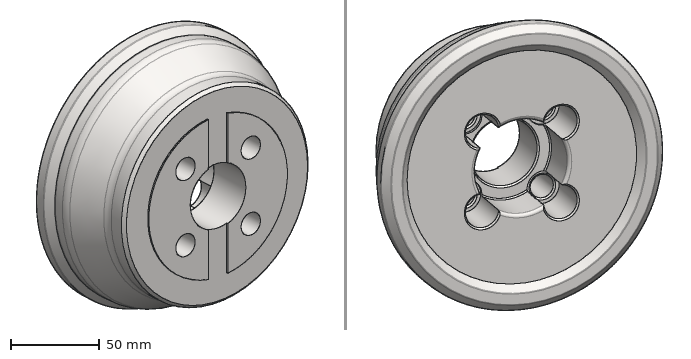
import cadquery as cq
import math

TOTAL_WIDTH = 63.0

TYRE_RADIUS = 84.9
TYRE_WIDTH = 15.8
TYRE_CHAMFER = 4.5
TYRE_INNER_CHAMFER = 4.4
TYRE_EDGE_FILLET = 0.7
SEAT_RADIUS = 69.1

HUB_FACE = TYRE_INNER_CHAMFER
HUB_LARGE_RADIUS = 161.0 / 2
HUB_SMALL_RADIUS = 135.0 / 2
CONE_START = 25.5
CONE_ANGLE = math.radians(30)
CONE_BLEND_RADIUS = 10.0
HUB_REAR_CHAMFER = 2.0

PAD_RADIUS = 50.0
PAD_HEIGHT = 1.0
PAD_GROOVE_WIDTH = 14.0
PAD_BASE = TOTAL_WIDTH - PAD_HEIGHT

POCKET_RADIUS = 28.0
POCKET_DEPTH = 28.5
POCKET_FLOOR = HUB_FACE + POCKET_DEPTH
POCKET_MOUTH_FILLET = 2.0
POCKET_FLOOR_CHAMFER = 0.8
BORE_RADIUS = 40.0 / 2

BOLT_SPACING = 47.2
BOLT_RADIUS = 14.0 / 2
BOLT_HEAD_RADIUS = 20.0 / 2
BOLT_HEAD_DEPTH = 30.5
BOLT_HEAD_SEAT = HUB_FACE + BOLT_HEAD_DEPTH

HOLE_CHAMFER = 1.0


def turned(profile):
    """Revolve a closed profile, drawn with X along the axis and Y as the radius, about the X axis."""
    return profile.close().revolve(360, (0, 0, 0), (1, 0, 0))


def bore(start, end, radius):
    """Cutter for a round axial hole from start to end with a chamfered mouth at start."""
    return turned(
        cq.Workplane("XY")
        .moveTo(start, 0)
        .lineTo(start, radius + HOLE_CHAMFER)
        .lineTo(start + HOLE_CHAMFER, radius)
        .lineTo(end, radius)
        .lineTo(end, 0)
    )


def make_tyre():
    """Ring with chamfered corners; every edge off the seat is slightly rounded."""
    ring = turned(
        cq.Workplane("XY")
        .moveTo(HUB_FACE, SEAT_RADIUS)
        .lineTo(0, SEAT_RADIUS + TYRE_INNER_CHAMFER)
        .lineTo(0, TYRE_RADIUS - TYRE_CHAMFER)
        .lineTo(TYRE_CHAMFER, TYRE_RADIUS)
        .lineTo(TYRE_WIDTH - TYRE_CHAMFER, TYRE_RADIUS)
        .lineTo(TYRE_WIDTH, TYRE_RADIUS - TYRE_CHAMFER)
        .lineTo(TYRE_WIDTH, SEAT_RADIUS)
    )
    seat_edges = ring.edges(cq.selectors.RadiusNthSelector(0)).vals()
    exposed_edges = [edge for edge in ring.edges("%CIRCLE").vals() if edge not in seat_edges]
    return ring.newObject(exposed_edges).fillet(TYRE_EDGE_FILLET)


def hub_blank():
    """Turned hub body: tyre seat, large cylinder, blended cone and small cylinder."""
    cone_end = CONE_START + (HUB_LARGE_RADIUS - HUB_SMALL_RADIUS) / math.tan(CONE_ANGLE)
    blend = CONE_BLEND_RADIUS * math.tan(CONE_ANGLE / 2)
    blend_x = blend * math.cos(CONE_ANGLE)
    blend_r = blend * math.sin(CONE_ANGLE)
    return turned(
        cq.Workplane("XY")
        .moveTo(HUB_FACE, 0)
        .lineTo(HUB_FACE, SEAT_RADIUS)
        .lineTo(TYRE_WIDTH, SEAT_RADIUS)
        .lineTo(TYRE_WIDTH, HUB_LARGE_RADIUS)
        .lineTo(CONE_START - blend, HUB_LARGE_RADIUS)
        .tangentArcPoint((CONE_START + blend_x, HUB_LARGE_RADIUS - blend_r), relative=False)
        .lineTo(cone_end - blend_x, HUB_SMALL_RADIUS + blend_r)
        .tangentArcPoint((cone_end + blend, HUB_SMALL_RADIUS), relative=False)
        .lineTo(PAD_BASE - HUB_REAR_CHAMFER, HUB_SMALL_RADIUS)
        .lineTo(PAD_BASE, HUB_SMALL_RADIUS - HUB_REAR_CHAMFER)
        .lineTo(PAD_BASE, 0)
    )


def mounting_pad():
    """Disc on the mounting side with a groove cut through its full height."""
    pad = cq.Workplane("YZ").workplane(offset=PAD_BASE).circle(PAD_RADIUS).extrude(PAD_HEIGHT)
    groove = (
        cq.Workplane("YZ")
        .workplane(offset=PAD_BASE)
        .rect(PAD_GROOVE_WIDTH, 2 * PAD_RADIUS)
        .extrude(PAD_HEIGHT)
    )
    return pad.cut(groove)


def pocket():
    """Cutter for the central pocket: rounded mouth, straight wall, chamfered floor edge."""
    return turned(
        cq.Workplane("XY")
        .moveTo(POCKET_FLOOR, 0)
        .lineTo(POCKET_FLOOR, POCKET_RADIUS - POCKET_FLOOR_CHAMFER)
        .lineTo(POCKET_FLOOR - POCKET_FLOOR_CHAMFER, POCKET_RADIUS)
        .lineTo(HUB_FACE + POCKET_MOUTH_FILLET, POCKET_RADIUS)
        .tangentArcPoint((HUB_FACE, POCKET_RADIUS + POCKET_MOUTH_FILLET), relative=False)
        .lineTo(HUB_FACE, 0)
    )


def bolt_hole():
    """Cutter for one stepped bolt hole on the X axis."""
    head = bore(HUB_FACE, BOLT_HEAD_SEAT, BOLT_HEAD_RADIUS)
    shank = bore(BOLT_HEAD_SEAT, TOTAL_WIDTH, BOLT_RADIUS)
    return head.union(shank)


def make_hub():
    """Hub with its pad, central pocket, bore and four bolt holes."""
    hub = hub_blank().union(mounting_pad())
    hub = hub.cut(pocket())
    hub = hub.cut(bore(POCKET_FLOOR, TOTAL_WIDTH, BORE_RADIUS))
    for y_side in (-1, 1):
        for z_side in (-1, 1):
            place = (0, y_side * BOLT_SPACING / 2, z_side * BOLT_SPACING / 2)
            hub = hub.cut(bolt_hole().translate(place))
    return hub


tyre = make_tyre().solids()
hub = make_hub().solids()
result = cq.Compound.makeCompound([tyre.val(), hub.val()])